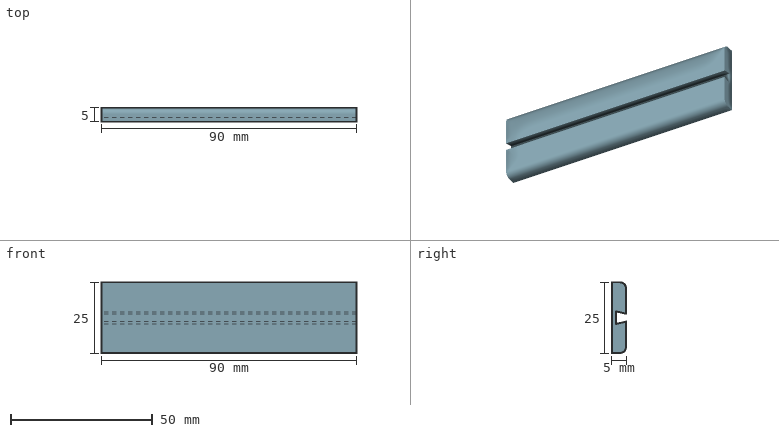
import cadquery as cq

length = 90.0
thickness = 5.0
height = 25.0

edge_radius = 2.25

groove_depth = 3.5
groove_mouth = 2.7
groove_floor = 4.3

back = thickness / 2
floor = back - groove_depth

bar = (
    cq.Workplane("XY")
    .box(length, thickness, height)
    .edges("|X and >Y")
    .fillet(edge_radius)
)

groove = (
    cq.Workplane("YZ")
    .polyline([
        (back, -groove_mouth / 2),
        (back, groove_mouth / 2),
        (floor, groove_floor / 2),
        (floor, -groove_floor / 2),
    ])
    .close()
    .extrude(length / 2, both=True)
)

result = bar.cut(groove)